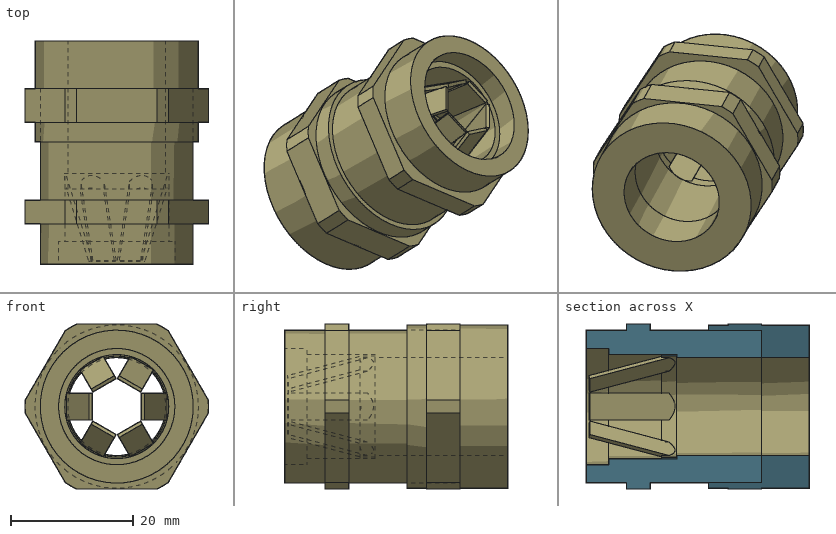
import cadquery as cq
import math

total_length = 36.5
body_hex_start = 6.6
body_hex_length = 3.9
cap_start = 20.0
cap_hex_start = 23.2
cap_hex_length = 5.5
body_end = cap_hex_start + cap_hex_length

body_radius = 12.5
cap_radius = 13.35
hex_across_flats = 27.0
hex_corner_radius = 15.0

mouth_radius = 9.5
mouth_depth = 3.7
spring_bore_radius = 8.5
through_bore_radius = 8.0

finger_count = 6
finger_width = 4.4
finger_thickness = 0.6
finger_tilt = math.radians(17.0)
finger_tip_y = 0.45
finger_tip_apothem = 4.0
finger_root_apothem = 8.2
ring_inner_radius = 8.25
ring_length = 2.5

outer_face_tip_apothem = finger_tip_apothem + finger_thickness * math.cos(finger_tilt)
ring_start = finger_tip_y + (finger_root_apothem - outer_face_tip_apothem) / math.tan(finger_tilt)
ring_end = ring_start + ring_length


def cylinder(radius, start, end):
    """Solid cylinder around the Y axis between two stations."""
    return cq.Workplane("XZ", origin=(0, start, 0)).circle(radius).extrude(start - end)


def hexagon(start, length):
    """Wrench hexagon with corners on +X and -X, its corners turned to a cylinder."""
    across_corners = hex_across_flats / math.cos(math.pi / 6)
    prism = cq.Workplane("XZ", origin=(0, start, 0)).polygon(6, across_corners).extrude(-length)
    return prism.intersect(cylinder(hex_corner_radius, start, start + length))


def make_body():
    """Threaded tube with its hexagon, a wide mouth and a seat for the contact spring."""
    body = cylinder(body_radius, 0, body_end)
    body = body.union(hexagon(body_hex_start, body_hex_length))
    body = body.cut(cylinder(mouth_radius, 0, mouth_depth))
    body = body.cut(cylinder(spring_bore_radius, 0, ring_end))
    return body.cut(cylinder(through_bore_radius, 0, body_end))


def make_cap_nut():
    """Nut that slips over the rear of the body and closes down to the through bore."""
    cap = cylinder(cap_radius, cap_start, total_length)
    cap = cap.union(hexagon(cap_hex_start, cap_hex_length))
    cap = cap.cut(cylinder(body_radius, cap_start, body_end))
    return cap.cut(cylinder(through_bore_radius, cap_start, total_length))


def make_finger():
    """Flat strip on the +X side, running outwards from its tip into the ring."""
    length = (spring_bore_radius - finger_tip_apothem) / math.sin(finger_tilt)
    run_x = length * math.sin(finger_tilt)
    run_y = length * math.cos(finger_tilt)
    inner_tip_y = finger_tip_y + finger_thickness * math.sin(finger_tilt)
    profile = [
        (finger_tip_apothem, inner_tip_y),
        (outer_face_tip_apothem, finger_tip_y),
        (outer_face_tip_apothem + run_x, finger_tip_y + run_y),
        (finger_tip_apothem + run_x, inner_tip_y + run_y),
    ]
    strip = cq.Workplane("XY").polyline(profile).close().extrude(finger_width / 2, both=True)
    return strip.intersect(cylinder(spring_bore_radius, 0, ring_end))


def make_contact_spring():
    """Seat ring with its fingers evenly spaced around the axis."""
    spring = cylinder(spring_bore_radius, ring_start, ring_end)
    spring = spring.cut(cylinder(ring_inner_radius, ring_start, ring_end))
    finger = make_finger()
    for index in range(finger_count):
        spring = spring.union(finger.rotate((0, 0, 0), (0, 1, 0), index * 360 / finger_count))
    return spring


body = make_body()
cap_nut = make_cap_nut()
contact_spring = make_contact_spring()

result = cq.Compound.makeCompound([
    body.solids().val(),
    cap_nut.solids().val(),
    contact_spring.solids().val(),
])